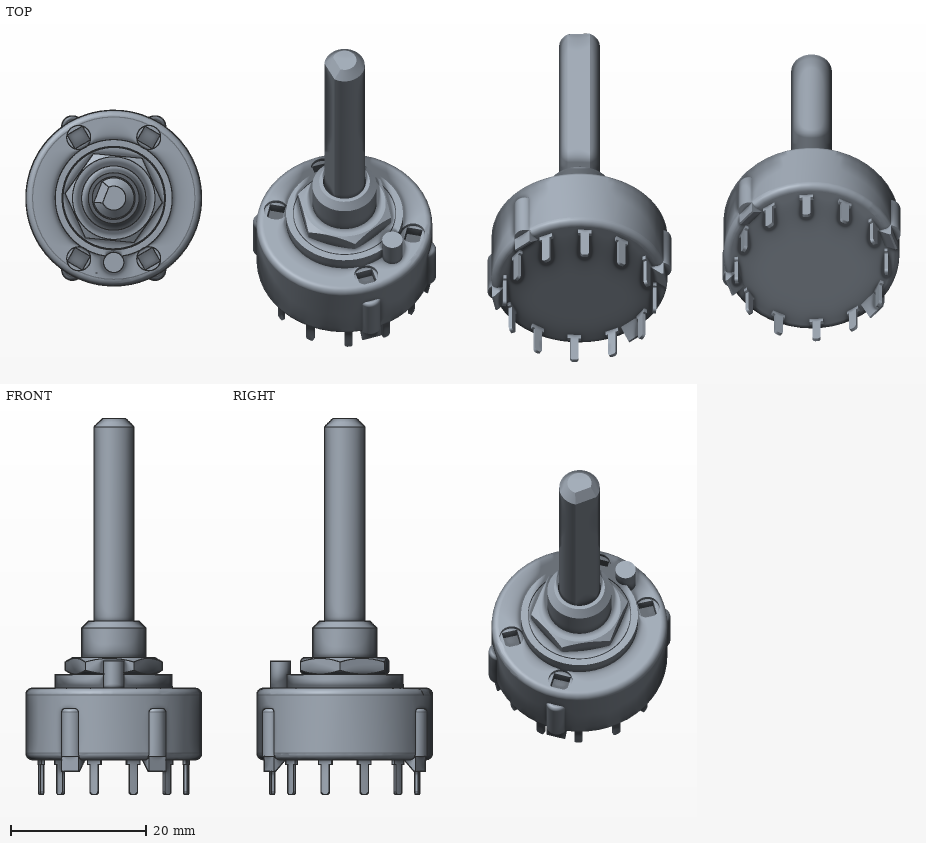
import cadquery as cq
import math


body_diameter = 26.0
body_height = 10.6
body_edge_radius = 1.0

flange_diameter = 17.3
flange_height = 2.0
flange_top = body_height + flange_height
groove_outer_diameter = 15.3
groove_inner_diameter = 15.0
groove_depth = 0.5

bushing_diameter = 9.5
bushing_top = 20.5
bushing_chamfer = 1.0
bore_diameter = 6.35

shaft_diameter = 6.0
shaft_top = 50.45
shaft_tip_diameter = 3.55
shaft_chamfer = (shaft_diameter - shaft_tip_diameter) / 2
flat_distance = 2.5
flat_angle = 158.7

nut_across_flats = 12.5
nut_height = 2.5
nut_angle = 54.5
nut_chamfer_diameter = 12.2
nut_chamfer_angle = 30.0

peg_diameter = 3.0
peg_height = 4.0
peg_offset = 9.5

clip_angles = (60, 120, 240, 300)
rib_radius = 1.6
rib_offset = 12.2
rib_bottom = 0.5
rib_top = 7.6
rib_edge_radius = 0.55
hook_bottom = -1.7
hook_width = 2.85
hook_outer = 12.92
hook_tip_thickness = 0.3
hook_inner = 10.95
recess_diameter = 3.55
recess_offset = 10.35
recess_depth = 0.6
slot_width = 2.6
slot_length = 2.35
slot_depth = 1.6

terminal_count = 12
terminal_offset = 11.1
terminal_width = 1.2
terminal_thickness = 0.5
terminal_bottom = -5.15
terminal_tip_radius = 0.45
shoulder_width = 2.0
shoulder_bottom = -0.7

embed = 1.0


def cylinder(diameter, bottom, top):
    return cq.Workplane("XY").workplane(offset=bottom).circle(diameter / 2).extrude(top - bottom)


def place_at_angle(shape, angle):
    return shape.rotate((0, 0, 0), (0, 0, 1), angle)


def make_body():
    body = cylinder(body_diameter, 0, body_height).edges().fillet(body_edge_radius)
    flange = cylinder(flange_diameter, body_height - embed, flange_top)
    groove_bottom = flange_top - groove_depth
    groove = cylinder(groove_outer_diameter, groove_bottom, flange_top).cut(
        cylinder(groove_inner_diameter, groove_bottom, flange_top)
    )
    return body.union(flange).cut(groove)


def make_bushing():
    bushing = cylinder(bushing_diameter, body_height, bushing_top)
    bushing = bushing.faces(">Z").chamfer(bushing_chamfer)
    return bushing.cut(cylinder(bore_diameter, flange_top, bushing_top))


def make_shaft():
    shaft = cylinder(shaft_diameter, body_height, shaft_top).faces(">Z").chamfer(shaft_chamfer)
    beyond_shaft = shaft_diameter
    flat_cut = (
        cq.Workplane("XZ")
        .moveTo(flat_distance, flange_top)
        .lineTo(flat_distance, shaft_top - shaft_chamfer)
        .lineTo(flat_distance - shaft_chamfer, shaft_top)
        .lineTo(beyond_shaft, shaft_top)
        .lineTo(beyond_shaft, flange_top)
        .close()
        .extrude(shaft_diameter, both=True)
    )
    shaft = shaft.cut(flat_cut)
    return place_at_angle(shaft, flat_angle)


def make_nut():
    corner_radius = nut_across_flats / math.sqrt(3)
    hexagon = cq.Workplane("XY").polygon(6, 2 * corner_radius).extrude(nut_height)
    face_radius = nut_chamfer_diameter / 2
    drop = (corner_radius - face_radius) * math.tan(math.radians(nut_chamfer_angle))
    turned_blank = (
        cq.Workplane("XZ")
        .moveTo(0, 0)
        .lineTo(face_radius, 0)
        .lineTo(corner_radius, drop)
        .lineTo(corner_radius, nut_height - drop)
        .lineTo(face_radius, nut_height)
        .lineTo(0, nut_height)
        .close()
        .revolve(360, (0, 0, 0), (0, 1, 0))
    )
    nut = hexagon.intersect(turned_blank).cut(cylinder(bushing_diameter, 0, nut_height))
    return place_at_angle(nut, nut_angle).translate((0, 0, flange_top))


def make_peg():
    return cylinder(peg_diameter, body_height - embed, body_height + peg_height).translate((0, -peg_offset, 0))


def make_clip():
    """Rib and hook of one clip, on the +X axis."""
    rib = cylinder(2 * rib_radius, rib_bottom, rib_top)
    rib = rib.faces(">Z").edges().fillet(rib_edge_radius).translate((rib_offset, 0, 0))
    hook = (
        cq.Workplane("XZ")
        .moveTo(hook_outer, rib_bottom)
        .lineTo(hook_outer, hook_bottom)
        .lineTo(hook_outer - hook_tip_thickness, hook_bottom)
        .lineTo(hook_inner, 0)
        .lineTo(hook_inner, rib_bottom)
        .close()
        .extrude(hook_width / 2, both=True)
    )
    return rib.union(hook)


def make_recess():
    """Round recess with a rectangular slot in its floor, on the +X axis."""
    recess = cylinder(recess_diameter, body_height - recess_depth, body_height)
    slot_height = recess_depth + slot_depth
    slot = cq.Workplane("XY").box(slot_length, slot_width, slot_height, centered=(True, True, False))
    recess = recess.union(slot.translate((0, 0, body_height - slot_height)))
    return recess.translate((recess_offset, 0, 0))


def make_terminal():
    """One terminal on the +X axis, with its broad faces square to the radius."""
    blade_length = embed - terminal_bottom
    blade = cq.Workplane("XY").box(
        terminal_thickness, terminal_width, blade_length, centered=(True, True, False)
    ).translate((0, 0, terminal_bottom))
    blade = blade.faces("<Z").edges("|X").fillet(terminal_tip_radius)
    shoulder = cq.Workplane("XY").box(
        terminal_thickness, shoulder_width, embed - shoulder_bottom, centered=(True, True, False)
    ).translate((0, 0, shoulder_bottom))
    return blade.union(shoulder).translate((terminal_offset, 0, 0))


result = make_body().union(make_bushing()).union(make_shaft()).union(make_nut()).union(make_peg())

for clip_angle in clip_angles:
    result = result.union(place_at_angle(make_clip(), clip_angle))
    result = result.cut(place_at_angle(make_recess(), clip_angle))

terminal_pitch = 360 / terminal_count
for index in range(terminal_count):
    terminal_angle = (index + 0.5) * terminal_pitch
    result = result.union(place_at_angle(make_terminal(), terminal_angle))